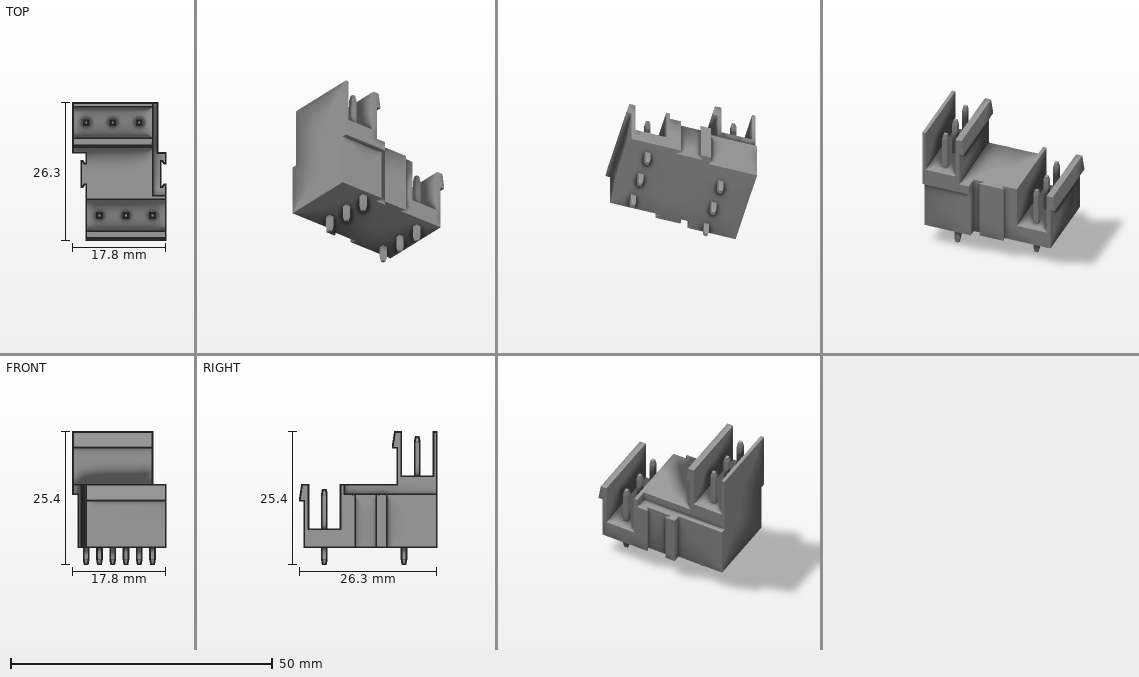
import cadquery as cq
import math

POLES = 3
PIN_PITCH = 5.08
ROW_LENGTH = POLES * PIN_PITCH
ROW_STEP_X = PIN_PITCH / 2
ROW_STEP_Y = 17.78
ROW_STEP_Z = 10.13

SHROUD_HEIGHT = 11.97
POCKET_DEPTH = 8.5
REAR_WALL = 0.7
POCKET_FRONT = 6.8
FRONT_FACE = 7.63
LATCH_TOP_DEPTH = 8.07
LATCH_TIP_DEPTH = 8.5
LATCH_SLOPE_HEIGHT = 2.8
LATCH_HEIGHT = 3.1

BLOCK_SHIFT = 1.0
REAR_BLOCK_DEPTH = 9.58

DOVETAIL_CENTRE = 13.61
DOVETAIL_WIDTH = 5.0
DOVETAIL_NECK = 3.98
DOVETAIL_HEIGHT = 0.95
DOVETAIL_LIP = 0.32
DOVETAIL_TIP = 0.25

PIN_SIZE = 1.0
PIN_TIP_SIZE = 0.63
PIN_TIP_LENGTH = 1.0
PIN_TOP_RECESS = 0.95
PIN_BOTTOM = -3.26
PIN_Y = -3.78
PIN_OFFSET_Y = 2.54
PIN_JOG_Z = ROW_STEP_Z / 2


def box(x0, x1, y0, y1, z0, z1):
    """Box between two corners."""
    return cq.Workplane("XY").box(x1 - x0, y1 - y0, z1 - z0, centered=False).translate((x0, y0, z0))


def make_shroud():
    """Open trough with a latch rail along the top of its front wall."""
    floor = SHROUD_HEIGHT - POCKET_DEPTH
    latch_bottom = SHROUD_HEIGHT - LATCH_HEIGHT
    profile = [
        (0, 0),
        (0, SHROUD_HEIGHT),
        (-REAR_WALL, SHROUD_HEIGHT),
        (-REAR_WALL, floor),
        (-POCKET_FRONT, floor),
        (-POCKET_FRONT, SHROUD_HEIGHT),
        (-LATCH_TOP_DEPTH, SHROUD_HEIGHT),
        (-LATCH_TIP_DEPTH, SHROUD_HEIGHT - LATCH_SLOPE_HEIGHT),
        (-LATCH_TIP_DEPTH, latch_bottom),
        (-FRONT_FACE, latch_bottom),
        (-FRONT_FACE, 0),
    ]
    return cq.Workplane("YZ").polyline(profile).close().extrude(ROW_LENGTH)


def make_dovetail(root_x, height):
    """Upright dovetail bar that widens toward -X, with its root at root_x."""
    tip_x = root_x - DOVETAIL_HEIGHT
    half_neck = DOVETAIL_NECK / 2
    half_width = DOVETAIL_WIDTH / 2
    profile = [
        (root_x, half_neck),
        (root_x - DOVETAIL_LIP, half_neck),
        (tip_x + DOVETAIL_TIP, half_width),
        (tip_x, half_width),
        (tip_x, -half_width),
        (tip_x + DOVETAIL_TIP, -half_width),
        (root_x - DOVETAIL_LIP, -half_neck),
        (root_x, -half_neck),
    ]
    bar = cq.Workplane("XY").polyline(profile).close().extrude(height)
    return bar.translate((0, -DOVETAIL_CENTRE, 0))


def make_housing():
    """Stepped body with both shrouds and the side dovetails."""
    right_end = ROW_STEP_X + ROW_LENGTH
    upper_shroud = make_shroud().translate((0, 0, ROW_STEP_Z))
    lower_shroud = make_shroud().translate((ROW_STEP_X, -ROW_STEP_Y, 0))
    rear_block = box(BLOCK_SHIFT, BLOCK_SHIFT + ROW_LENGTH, -REAR_BLOCK_DEPTH, 0, 0, ROW_STEP_Z)
    overhang = box(0, ROW_LENGTH, -REAR_BLOCK_DEPTH, -FRONT_FACE, ROW_STEP_Z, SHROUD_HEIGHT)
    middle_block = box(ROW_STEP_X, right_end, -ROW_STEP_Y, -REAR_BLOCK_DEPTH, 0, ROW_STEP_Z)
    platform = box(ROW_STEP_X, ROW_LENGTH, -ROW_STEP_Y, -REAR_BLOCK_DEPTH, ROW_STEP_Z, SHROUD_HEIGHT)
    body = rear_block.union(middle_block).union(overhang).union(platform)
    body = body.union(upper_shroud).union(lower_shroud)
    body = body.union(make_dovetail(ROW_STEP_X, SHROUD_HEIGHT))
    return body.cut(make_dovetail(right_end, ROW_STEP_Z)).clean()


def make_leg(start_z, end_z):
    """Square leg from start_z to a tapered tip at end_z, above or below."""
    direction = math.copysign(1, end_z - start_z)
    shank_length = abs(end_z - start_z) - PIN_TIP_LENGTH
    taper = math.degrees(math.atan((PIN_SIZE - PIN_TIP_SIZE) / 2 / PIN_TIP_LENGTH))
    plane = cq.Plane(origin=(0, 0, start_z), xDir=(1, 0, 0), normal=(0, 0, direction))
    shank = cq.Workplane(plane).rect(PIN_SIZE, PIN_SIZE).extrude(shank_length)
    tip = cq.Workplane(plane).workplane(offset=shank_length)
    tip = tip.rect(PIN_SIZE, PIN_SIZE).extrude(PIN_TIP_LENGTH, taper=taper)
    return shank.union(tip)


def make_straight_pin():
    """Pin of the lower level."""
    middle = SHROUD_HEIGHT / 2
    upper_leg = make_leg(middle, SHROUD_HEIGHT - PIN_TOP_RECESS)
    return upper_leg.union(make_leg(middle, PIN_BOTTOM)).clean()


def make_offset_pin():
    """Pin of the upper level, with its lower leg set forward."""
    half = PIN_SIZE / 2
    upper_leg = make_leg(PIN_JOG_Z - half, ROW_STEP_Z + SHROUD_HEIGHT - PIN_TOP_RECESS)
    lower_leg = make_leg(PIN_JOG_Z + half, PIN_BOTTOM).translate((0, -PIN_OFFSET_Y, 0))
    jog = box(-half, half, -PIN_OFFSET_Y, 0, PIN_JOG_Z - half, PIN_JOG_Z + half)
    return upper_leg.union(jog).union(lower_leg).clean()


housing = make_housing()
pins = []
for pole in range(POLES):
    pin_x = (pole + 0.5) * PIN_PITCH
    pins.append(make_offset_pin().translate((pin_x, PIN_Y, 0)))
    pins.append(make_straight_pin().translate((ROW_STEP_X + pin_x, PIN_Y - ROW_STEP_Y, 0)))

for pin in pins:
    housing = housing.cut(pin)

result = cq.Compound.makeCompound([housing.solids().val(), *[pin.solids().val() for pin in pins]])